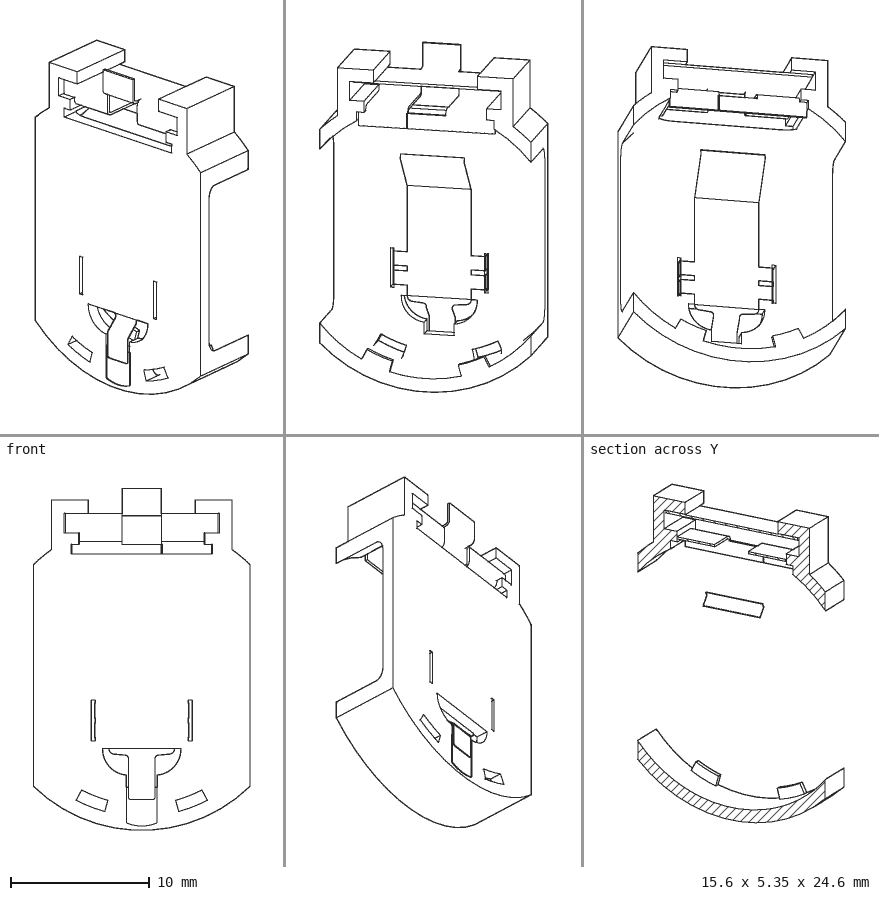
import cadquery as cq
import math


HALF_WIDTH = 7.8
DEPTH = 5.3
BASE_THICKNESS = 0.94
CELL_AXIS_Z = 11.15
OUTER_RADIUS = CELL_AXIS_Z
CAVITY_RADIUS = 10.15
CAVITY_FILLET = 0.62

EAR_TOP = 23.77
EAR_HALF_WIDTH = 6.5
EAR_GAP_HALF_WIDTH = 3.85
CHANNEL_TOP = 22.81
CHANNEL_LEDGE = 21.4
CHANNEL_HALF_WIDTH = 5.59
NECK_BOTTOM = 20.57
NECK_HALF_WIDTH = 4.53
HOOK_SLOT_BOTTOM = 19.88
HOOK_SLOT_HALF_WIDTH = 5.07

LUG_INNER_RADIUS = 9.3
LUG_START_ANGLE = 15.2
LUG_END_ANGLE = 27.7
LUG_THICKNESS = 0.35
LUG_SLOT_DEPTH = BASE_THICKNESS + CAVITY_FILLET

OPENING_TOP = 5.88
OPENING_BOTTOM = 3.99
OPENING_HALF_WIDTH = 2.8
OPENING_CORNER_RADIUS = 1.85
GROOVE_HALF_WIDTH = 1.1
GROOVE_THROUGH_BOTTOM = 3.13
GROOVE_END_Z = 0.32
GROOVE_CORNER_Z = 0.55
GROOVE_CORNER_RADIUS = 0.15
GROOVE_DEPTH = 0.07
TAB_SLOT_INNER = 3.35
TAB_SLOT_OUTER = 3.62
TAB_SLOT_BOTTOM = 6.45
TAB_SLOT_TOP = 9.38

CLIP_THICKNESS = 0.2
CLIP_BEND_RADIUS = 0.2
CLIP_TOP_HALF_WIDTH = 5.5
CLIP_NECK_HALF_WIDTH = 4.5
CLIP_HOOK_HALF_WIDTH = 5.05
CLIP_FRONT_Y = 0.5
CLIP_TOP_BACK_Y = 4.73
CLIP_HOOK_BACK_Y = 4.87
CLIP_RETURN_BOTTOM = 20.8
CLIP_HOOK_BOTTOM = 19.45
CLIP_SLIT_WIDTH = 0.07
SOLDER_TAB_HALF_WIDTH = 1.4
SOLDER_TAB_TOP = 24.6

SPRING_THICKNESS = 0.062
SPRING_BEND_RADIUS = 0.02
TERMINAL_PROTRUSION = 0.05
TERMINAL_HALF_WIDTH = 0.95
TERMINAL_BOTTOM = 2.21
TERMINAL_TOP = 4.2
TERMINAL_CORNER_RADIUS = 0.2
SHOULDER_FILLET = 0.25
SPRING_HALF_WIDTH = 2.36
SPRING_CORNER_RADIUS = 0.4
SPRING_PLATE_BOTTOM = 5.1
SHOULDER_INNER_Z = 5.4
SHOULDER_OUTER_Z = 5.51
FINGER_ROOT_Z = 14.03
FINGER_KNEE = (3.15, 16.7)
FINGER_TIP = (3.0, 17.0)
TAB_HEIGHT = 1.05
TAB_BOTTOMS = (6.67, 8.1)
TAB_FRONT_Y = 0.47


def box(x_range, y_range, z_range):
    """A box given by its limits along X, Y and Z."""
    sizes = [high - low for low, high in (x_range, y_range, z_range)]
    corner = (x_range[0], y_range[0], z_range[0])
    return cq.Workplane("XY").box(*sizes, centered=False).translate(corner)


def centred_box(half_width, y_range, z_range):
    """A box symmetric about the plane X = 0."""
    return box((-half_width, half_width), y_range, z_range)


def front_plane(y):
    """A workplane facing the front, with local axes X and Z; extruding by -d goes d towards +Y."""
    return cq.Workplane("XZ", origin=(0, y, 0))


def round_corners(body, corner, radius):
    """Fillet the two edges along Y at the (x, z) corner and at its mirror image (-x, z)."""
    for x in (-corner[0], corner[0]):
        nearest = cq.selectors.NearestToPointSelector((x, body.val().Center().y, corner[1]))
        body = body.edges("|Y").edges(nearest).fillet(radius)
    return body


def half_rise(radius, x):
    """Height above the cell axis of a circle about it, at distance x to the side."""
    return math.sqrt(radius ** 2 - x ** 2)


def on_circle(radius, degrees):
    """Point on a circle about the cell axis, at an angle from straight down towards +X."""
    angle = math.radians(degrees)
    return (radius * math.sin(angle), CELL_AXIS_Z - radius * math.cos(angle))


def sheet_strip(centreline, thickness, inside_radius, half_width):
    """Bent sheet strip: a (Y, Z) centreline with rounded bends, extruded symmetrically along X."""
    bend = inside_radius + thickness / 2
    points = [cq.Vector(y, z) for y, z in centreline]
    directions = [(end - start).normalized() for start, end in zip(points, points[1:])]
    normals = [cq.Vector(-d.y, d.x) for d in directions]

    def side(sign):
        """Pieces of one face: a point for each end, and (start, middle, end) for each bend."""
        offset = sign * thickness / 2
        pieces = [points[0] + normals[0] * offset]
        for i in range(1, len(points) - 1):
            before, after = normals[i - 1], normals[i]
            turn = directions[i].getSignedAngle(directions[i - 1])
            tangent = bend * math.tan(abs(turn) / 2)
            inward = math.copysign(bend, turn)
            start = points[i] - directions[i - 1] * tangent
            centre = start + before * inward
            reach = offset - inward
            middle_normal = (before + after).normalized()
            pieces.append([centre + n * reach for n in (before, middle_normal, after)])
        pieces.append(points[-1] + normals[-1] * offset)
        return pieces

    left = side(1)
    right = side(-1)
    outline = cq.Workplane("YZ").moveTo(left[0].x, left[0].y)
    for start, middle, end in left[1:-1]:
        outline = outline.lineTo(start.x, start.y).threePointArc(middle.toTuple()[:2], end.toTuple()[:2])
    outline = outline.lineTo(left[-1].x, left[-1].y).lineTo(right[-1].x, right[-1].y)
    for start, middle, end in reversed(right[1:-1]):
        outline = outline.lineTo(end.x, end.y).threePointArc(middle.toTuple()[:2], start.toTuple()[:2])
    return outline.lineTo(right[0].x, right[0].y).close().extrude(half_width, both=True)



def housing_block():
    """Round-ended outline of the housing with the two ears' block on top."""
    side_rise = half_rise(OUTER_RADIUS, HALF_WIDTH)
    shoulder_rise = half_rise(OUTER_RADIUS, EAR_HALF_WIDTH)
    middle_x = (HALF_WIDTH + EAR_HALF_WIDTH) / 2
    middle_z = CELL_AXIS_Z + half_rise(OUTER_RADIUS, middle_x)
    return (
        front_plane(0)
        .moveTo(-HALF_WIDTH, CELL_AXIS_Z - side_rise)
        .threePointArc((0, CELL_AXIS_Z - OUTER_RADIUS), (HALF_WIDTH, CELL_AXIS_Z - side_rise))
        .lineTo(HALF_WIDTH, CELL_AXIS_Z + side_rise)
        .threePointArc((middle_x, middle_z), (EAR_HALF_WIDTH, CELL_AXIS_Z + shoulder_rise))
        .lineTo(EAR_HALF_WIDTH, EAR_TOP)
        .lineTo(-EAR_HALF_WIDTH, EAR_TOP)
        .lineTo(-EAR_HALF_WIDTH, CELL_AXIS_Z + shoulder_rise)
        .threePointArc((-middle_x, middle_z), (-HALF_WIDTH, CELL_AXIS_Z + side_rise))
        .close()
        .extrude(-DEPTH)
    )


def lug_sectors(y_start, y_end):
    """The pair of ring sectors shared by the lugs and their moulding slots."""
    middle_angle = (LUG_START_ANGLE + LUG_END_ANGLE) / 2
    sector = (
        front_plane(y_start)
        .moveTo(*on_circle(LUG_INNER_RADIUS, LUG_START_ANGLE))
        .threePointArc(
            on_circle(LUG_INNER_RADIUS, middle_angle), on_circle(LUG_INNER_RADIUS, LUG_END_ANGLE)
        )
        .lineTo(*on_circle(CAVITY_RADIUS, LUG_END_ANGLE))
        .threePointArc(
            on_circle(CAVITY_RADIUS, middle_angle), on_circle(CAVITY_RADIUS, LUG_START_ANGLE)
        )
        .close()
        .extrude(y_start - y_end)
    )
    return sector.union(sector.mirror("YZ"))


def cell_cavity():
    """Round cell pocket with a filleted floor; the lugs are left standing at its mouth."""
    pocket = (
        front_plane(BASE_THICKNESS)
        .center(0, CELL_AXIS_Z)
        .circle(CAVITY_RADIUS)
        .extrude(BASE_THICKNESS - DEPTH)
        .faces("<Y").edges().fillet(CAVITY_FILLET)
    )
    return pocket.cut(lug_sectors(DEPTH - LUG_THICKNESS, DEPTH))


def clip_channel():
    """Stepped channel through the full depth for the positive contact, open between the ears."""
    full_depth = (0, DEPTH)
    ear_gap = centred_box(EAR_GAP_HALF_WIDTH, full_depth, (CHANNEL_LEDGE, EAR_TOP))
    channel = centred_box(CHANNEL_HALF_WIDTH, full_depth, (CHANNEL_LEDGE, CHANNEL_TOP))
    neck = centred_box(NECK_HALF_WIDTH, full_depth, (HOOK_SLOT_BOTTOM, CHANNEL_TOP))
    hook_slot = centred_box(HOOK_SLOT_HALF_WIDTH, full_depth, (HOOK_SLOT_BOTTOM, NECK_BOTTOM))
    return ear_gap.union(channel).union(neck).union(hook_slot)


def terminal_opening():
    """Opening through the base, with rounded lower corners and a narrower notch below."""
    through = (0, BASE_THICKNESS)
    opening = (
        centred_box(OPENING_HALF_WIDTH, through, (OPENING_BOTTOM, OPENING_TOP))
        .edges("|Y and <Z").fillet(OPENING_CORNER_RADIUS)
    )
    notch = centred_box(GROOVE_HALF_WIDTH, through, (GROOVE_THROUGH_BOTTOM, OPENING_TOP))
    return opening.union(notch)


def terminal_groove():
    """Shallow groove in the front face under the terminal, ending near the housing rim."""
    groove = (
        front_plane(0)
        .moveTo(-GROOVE_HALF_WIDTH, GROOVE_THROUGH_BOTTOM)
        .lineTo(-GROOVE_HALF_WIDTH, GROOVE_CORNER_Z)
        .threePointArc((0, GROOVE_END_Z), (GROOVE_HALF_WIDTH, GROOVE_CORNER_Z))
        .lineTo(GROOVE_HALF_WIDTH, GROOVE_THROUGH_BOTTOM)
        .close()
        .extrude(-GROOVE_DEPTH)
    )
    return round_corners(groove, (GROOVE_HALF_WIDTH, GROOVE_CORNER_Z), GROOVE_CORNER_RADIUS)


def tab_slots():
    """Two upright slots through the base for the tabs of the negative contact."""
    slot = box((TAB_SLOT_INNER, TAB_SLOT_OUTER), (0, BASE_THICKNESS), (TAB_SLOT_BOTTOM, TAB_SLOT_TOP))
    return slot.union(slot.mirror("YZ"))


def make_housing(negative_contact):
    """Housing, with a recess in its base that matches the negative contact."""
    return (
        housing_block()
        .cut(cell_cavity())
        .cut(lug_sectors(0, LUG_SLOT_DEPTH))
        .cut(clip_channel())
        .cut(terminal_opening())
        .cut(terminal_groove())
        .cut(tab_slots())
        .cut(negative_contact)
    )



def clip_outline():
    """Front outline of the folded clip: wide top, narrow neck and wide hook."""
    half = [
        (CLIP_TOP_HALF_WIDTH, CHANNEL_TOP),
        (CLIP_TOP_HALF_WIDTH, CHANNEL_LEDGE),
        (CLIP_NECK_HALF_WIDTH, CHANNEL_LEDGE),
        (CLIP_NECK_HALF_WIDTH, NECK_BOTTOM),
        (CLIP_HOOK_HALF_WIDTH, NECK_BOTTOM),
        (CLIP_HOOK_HALF_WIDTH, CLIP_HOOK_BOTTOM),
    ]
    mirrored = [(-x, z) for x, z in reversed(half)]
    return front_plane(0).polyline(half + mirrored).close().extrude(-DEPTH)


def make_positive_contact():
    """Sheet clip folded from top plate to front flange, return plate and hook, with a solder tab."""
    half_sheet = CLIP_THICKNESS / 2
    plate_z = CHANNEL_TOP - half_sheet
    plate_underside = CHANNEL_TOP - CLIP_THICKNESS
    flange_y = CLIP_FRONT_Y + half_sheet
    return_z = CLIP_RETURN_BOTTOM + half_sheet
    hook_y = CLIP_HOOK_BACK_Y - half_sheet
    front_bend_end = CLIP_FRONT_Y + CLIP_THICKNESS + CLIP_BEND_RADIUS

    folded = sheet_strip(
        [
            (CLIP_TOP_BACK_Y, plate_z),
            (flange_y, plate_z),
            (flange_y, return_z),
            (hook_y, return_z),
            (hook_y, CLIP_HOOK_BOTTOM),
        ],
        CLIP_THICKNESS, CLIP_BEND_RADIUS, CLIP_TOP_HALF_WIDTH,
    )
    clip = folded.intersect(clip_outline())

    window = centred_box(SOLDER_TAB_HALF_WIDTH, (0, DEPTH), (NECK_BOTTOM, plate_underside))
    tab_gap = centred_box(SOLDER_TAB_HALF_WIDTH, (0, front_bend_end), (plate_underside, CHANNEL_TOP))
    slit = box(
        (SOLDER_TAB_HALF_WIDTH, SOLDER_TAB_HALF_WIDTH + CLIP_SLIT_WIDTH),
        (CLIP_HOOK_BACK_Y - CLIP_THICKNESS, CLIP_HOOK_BACK_Y),
        (CLIP_HOOK_BOTTOM, NECK_BOTTOM),
    )
    solder_tab = sheet_strip(
        [(front_bend_end, plate_z), (half_sheet, plate_z), (half_sheet, SOLDER_TAB_TOP)],
        CLIP_THICKNESS, CLIP_BEND_RADIUS, SOLDER_TAB_HALF_WIDTH,
    )
    return clip.cut(window).cut(tab_gap).cut(slit).union(solder_tab)



def spring_outline():
    """Front outline of the spring: narrow terminal below, wide plate and finger above."""
    half = [
        (SPRING_HALF_WIDTH, FINGER_TIP[1] + SPRING_THICKNESS),
        (SPRING_HALF_WIDTH, SHOULDER_OUTER_Z),
        (TERMINAL_HALF_WIDTH, SHOULDER_INNER_Z),
        (TERMINAL_HALF_WIDTH, TERMINAL_BOTTOM),
    ]
    mirrored = [(-x, z) for x, z in reversed(half)]
    blank = front_plane(-TERMINAL_PROTRUSION).polyline(half + mirrored).close().extrude(-DEPTH)

    blank = round_corners(blank, half[1], SPRING_CORNER_RADIUS)
    blank = round_corners(blank, half[2], SHOULDER_FILLET)
    return round_corners(blank, half[3], TERMINAL_CORNER_RADIUS)


def make_negative_contact():
    """Sheet spring: terminal on the front, plate in the base, finger towards the cell, side tabs."""
    half_sheet = SPRING_THICKNESS / 2
    terminal_y = half_sheet - TERMINAL_PROTRUSION
    plate_y = BASE_THICKNESS - half_sheet
    strip = sheet_strip(
        [
            (terminal_y, TERMINAL_BOTTOM),
            (terminal_y, TERMINAL_TOP),
            (plate_y, SPRING_PLATE_BOTTOM),
            (plate_y, FINGER_ROOT_Z),
            FINGER_KNEE,
            FINGER_TIP,
        ],
        SPRING_THICKNESS, SPRING_BEND_RADIUS, SPRING_HALF_WIDTH,
    )
    spring = strip.intersect(spring_outline())

    tab_outer = TAB_SLOT_INNER + SPRING_THICKNESS
    for bottom in TAB_BOTTOMS:
        heights = (bottom, bottom + TAB_HEIGHT)
        wing = centred_box(tab_outer, (BASE_THICKNESS - SPRING_THICKNESS, BASE_THICKNESS), heights)
        tab = box((TAB_SLOT_INNER, tab_outer), (TAB_FRONT_Y, BASE_THICKNESS), heights)
        spring = spring.union(wing).union(tab).union(tab.mirror("YZ"))
    return spring


negative_contact = make_negative_contact()
positive_contact = make_positive_contact()
housing = make_housing(negative_contact)

result = cq.Compound.makeCompound([body.solids().val() for body in (housing, positive_contact, negative_contact)])